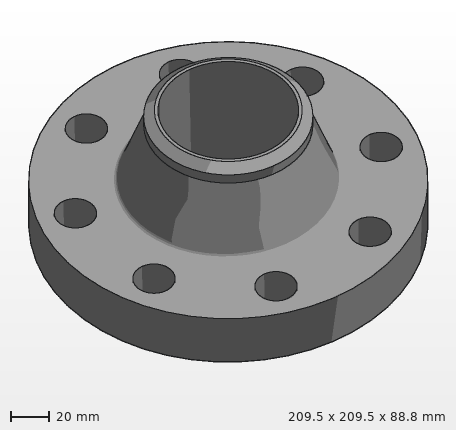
import cadquery as cq
import math

flange_diameter = 209.5
flange_thickness = 31.6
face_diameter = 127.0
face_height = 6.3

overall_height = 88.8
hub_diameter = 117.3
neck_diameter = 88.8
bore_diameter = 73.7
neck_length = 10.3
hub_root_fillet = 3.4
bevel_angle = 37.5
end_land = 1.9

bolt_count = 8
bolt_circle_diameter = 168.0
bolt_hole_diameter = 22.2

selection_margin = 1.0

flange_top = face_height + flange_thickness
neck_bottom = overall_height - neck_length
land_radius = bore_diameter / 2 + end_land
bevel_height = (neck_diameter / 2 - land_radius) * math.tan(math.radians(bevel_angle))


def make_flange_plate():
    """Round plate standing on the narrower raised face."""
    face = cq.Workplane("XY").circle(face_diameter / 2).extrude(face_height)
    plate = (
        cq.Workplane("XY")
        .workplane(offset=face_height)
        .circle(flange_diameter / 2)
        .extrude(flange_thickness)
    )
    return face.union(plate)


def make_neck():
    """Tapered hub, short straight neck and welding bevel, revolved about Z."""
    return (
        cq.Workplane("XZ")
        .moveTo(0, face_height)
        .lineTo(hub_diameter / 2, face_height)
        .lineTo(hub_diameter / 2, flange_top)
        .lineTo(neck_diameter / 2, neck_bottom)
        .lineTo(neck_diameter / 2, overall_height - bevel_height)
        .lineTo(land_radius, overall_height)
        .lineTo(0, overall_height)
        .close()
        .revolve(360, (0, 0, 0), (0, 1, 0))
    )


def round_hub_root(body):
    """Fillet the edge where the hub cone meets the top of the flange plate."""
    reach = hub_diameter / 2 + selection_margin
    root_edge = cq.selectors.BoxSelector(
        (-reach, -reach, flange_top - selection_margin),
        (reach, reach, flange_top + selection_margin),
        boundingbox=True,
    )
    return body.edges(root_edge).fillet(hub_root_fillet)


body = round_hub_root(make_flange_plate().union(make_neck()))
bore = cq.Workplane("XY").circle(bore_diameter / 2).extrude(overall_height)
bolt_holes = (
    cq.Workplane("XY")
    .polarArray(bolt_circle_diameter / 2, 0, 360, bolt_count)
    .circle(bolt_hole_diameter / 2)
    .extrude(flange_top)
)
result = body.cut(bore).cut(bolt_holes)